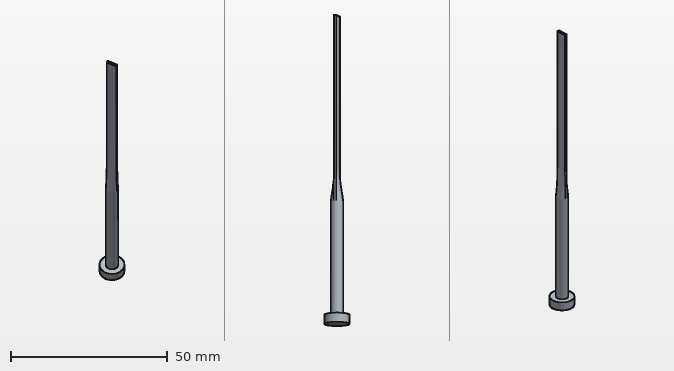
import cadquery as cq
import math

total_height = 100.0
head_height = 3.0
shaft_top = 40.0
blade_bottom = 50.0

head_diameter = 8.0
shaft_diameter = 4.0
blade_width = 3.5
blade_thickness = 0.8

shaft_radius = shaft_diameter / 2
half_width = blade_width / 2
half_thickness = blade_thickness / 2


def make_head_and_shaft():
    head = cq.Workplane("XY").circle(head_diameter / 2).extrude(head_height)
    shaft = cq.Workplane("XY").circle(shaft_radius).extrude(shaft_top)
    return head.union(shaft)


def make_transition():
    """Ruled loft from the round shaft to the flat blade.

    The circle is split into four arcs, one for each side of the blade. The
    split points lie at the blade's half thickness, so the narrow sides keep
    a constant thickness all the way up.
    """
    split_x = math.sqrt(shaft_radius**2 - half_thickness**2)
    return (
        cq.Workplane("XY", origin=(0, 0, shaft_top))
        .moveTo(-split_x, -half_thickness)
        .threePointArc((0, -shaft_radius), (split_x, -half_thickness))
        .threePointArc((shaft_radius, 0), (split_x, half_thickness))
        .threePointArc((0, shaft_radius), (-split_x, half_thickness))
        .threePointArc((-shaft_radius, 0), (-split_x, -half_thickness))
        .close()
        .workplane(offset=blade_bottom - shaft_top)
        .moveTo(-half_width, -half_thickness)
        .lineTo(half_width, -half_thickness)
        .lineTo(half_width, half_thickness)
        .lineTo(-half_width, half_thickness)
        .close()
        .loft(ruled=True)
    )


def make_blade():
    return (
        cq.Workplane("XY", origin=(0, 0, blade_bottom))
        .rect(blade_width, blade_thickness)
        .extrude(total_height - blade_bottom)
    )


result = make_head_and_shaft().union(make_transition()).union(make_blade())